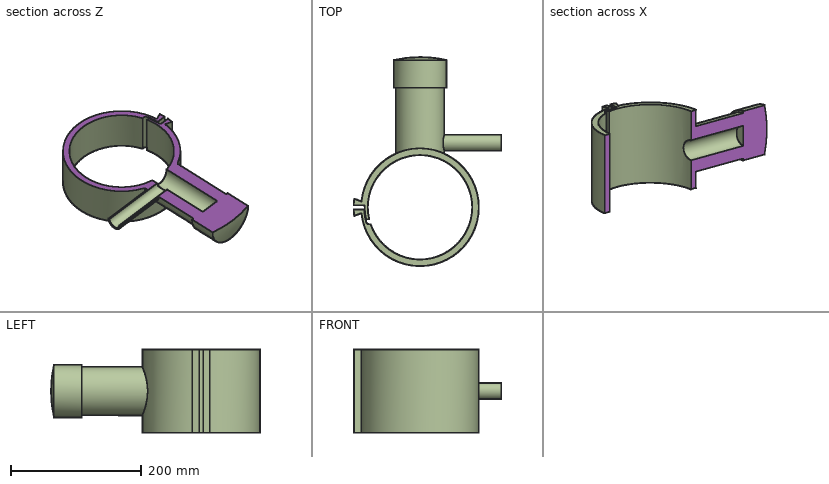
import cadquery as cq
import math

overall_length = 321.37

ring_height = 128.0
ring_outer_radius = 90.5
ring_inner_radius = 80.0

split_width = 6.0
lug_outer_radius = 102.0
lug_tip_half_width = 13.4
lug_root_half_width = 9.2

lap_clearance = 0.5
lap_radius = (ring_inner_radius + ring_outer_radius) / 2
tongue_outer_radius = lap_radius - lap_clearance / 2
recess_radius = lap_radius + lap_clearance / 2
tongue_end_y = -18.7
recess_end_y = -25.7
recess_fillet = 4.0
tongue_root_fillet = 2.0

tube_diameter = 75.0
cap_diameter = 81.4
cap_start_y = 183.2
cap_edge_y = 226.1
cap_top_y = overall_length - ring_outer_radius
tube_bore_diameter = 32.0

pipe_diameter = 25.0
pipe_bore_diameter = 20.0
pipe_y = 99.0
pipe_end_x = 125.0


def left_x(radius, y):
    """X on the -X side of a circle about the origin, at the given y."""
    return -math.sqrt(radius**2 - y**2)


def left_point(radius, y):
    return (left_x(radius, y), y)


def upright(sketch):
    """Extrude an XY outline over the full ring height, centred on Z = 0."""
    return sketch.extrude(ring_height / 2, both=True)


def cylinder_y(diameter, start_y, end_y):
    plane = cq.Workplane("XZ", origin=(0, start_y, 0))
    return plane.circle(diameter / 2).extrude(start_y - end_y)


def cylinder_x(diameter, end_x):
    return cq.Workplane("YZ").center(pipe_y, 0).circle(diameter / 2).extrude(end_x)


def make_lug(side):
    """Flared lug; side is +1 for the +Y lug and -1 for the -Y lug."""
    inner_y = side * split_width / 2
    tip_y = side * lug_tip_half_width
    root_y = side * lug_root_half_width
    middle_y = (inner_y + tip_y) / 2
    outline = (
        cq.Workplane("XY")
        .moveTo(-lap_radius, inner_y)
        .lineTo(*left_point(lug_outer_radius, inner_y))
        .threePointArc(left_point(lug_outer_radius, middle_y), left_point(lug_outer_radius, tip_y))
        .lineTo(*left_point(ring_outer_radius, root_y))
        .lineTo(-lap_radius, root_y)
        .close()
    )
    return upright(outline)


def make_split():
    """Slot between the lugs, down to the outside of the tongue."""
    half = split_width / 2
    slot = (
        cq.Workplane("XY")
        .moveTo(-lug_outer_radius, half)
        .lineTo(*left_point(tongue_outer_radius, half))
        .threePointArc((-tongue_outer_radius, 0), left_point(tongue_outer_radius, -half))
        .lineTo(-lug_outer_radius, -half)
        .close()
    )
    corner = cq.selectors.NearestToPointSelector((*left_point(tongue_outer_radius, half), 0))
    return upright(slot).edges(corner).fillet(tongue_root_fillet)


def make_recess():
    """Recess in the -Y ring end: the clearance over the tongue and the space beyond its tip."""
    start_y = -split_width / 2
    middle_y = (start_y + recess_end_y) / 2
    recess = upright(
        cq.Workplane("XY")
        .moveTo(*left_point(recess_radius, start_y))
        .threePointArc(left_point(recess_radius, middle_y), left_point(recess_radius, recess_end_y))
        .lineTo(left_x(ring_inner_radius, recess_end_y), recess_end_y)
        .threePointArc(left_point(ring_inner_radius, middle_y), left_point(ring_inner_radius, start_y))
        .close()
    )
    corner = cq.selectors.NearestToPointSelector((*left_point(recess_radius, recess_end_y), 0))
    recess = recess.edges(corner).fillet(recess_fillet)
    tongue_middle_y = (start_y + tongue_end_y) / 2
    tongue = upright(
        cq.Workplane("XY")
        .moveTo(*left_point(tongue_outer_radius, start_y))
        .threePointArc(
            left_point(tongue_outer_radius, tongue_middle_y),
            left_point(tongue_outer_radius, tongue_end_y),
        )
        .lineTo(*left_point(ring_inner_radius, tongue_end_y))
        .threePointArc(
            left_point(ring_inner_radius, tongue_middle_y),
            left_point(ring_inner_radius, start_y),
        )
        .close()
    )
    return recess.cut(tongue)


def make_cap():
    """Solid cap of revolution about Y, with a shallow domed end."""
    radius = cap_diameter / 2
    dome_height = cap_top_y - cap_edge_y
    dome_radius = (radius**2 + dome_height**2) / (2 * dome_height)
    middle_x = radius / 2
    middle_y = cap_top_y - dome_radius + math.sqrt(dome_radius**2 - middle_x**2)
    profile = (
        cq.Workplane("XY")
        .moveTo(0, cap_start_y)
        .lineTo(radius, cap_start_y)
        .lineTo(radius, cap_edge_y)
        .threePointArc((middle_x, middle_y), (0, cap_top_y))
        .close()
    )
    return profile.revolve(360, (0, 0, 0), (0, 1, 0))


ring = upright(cq.Workplane("XY").circle(ring_outer_radius))
tube = cylinder_y(tube_diameter, 0, cap_start_y)
pipe = cylinder_x(pipe_diameter, pipe_end_x)
body = ring.union(tube).union(make_cap()).union(pipe)
for side in (1, -1):
    body = body.union(make_lug(side))

body = body.cut(upright(cq.Workplane("XY").circle(ring_inner_radius)))
body = body.cut(cylinder_y(tube_bore_diameter, 0, cap_start_y))
body = body.cut(cylinder_x(pipe_bore_diameter, pipe_end_x))
result = body.cut(make_split()).cut(make_recess())